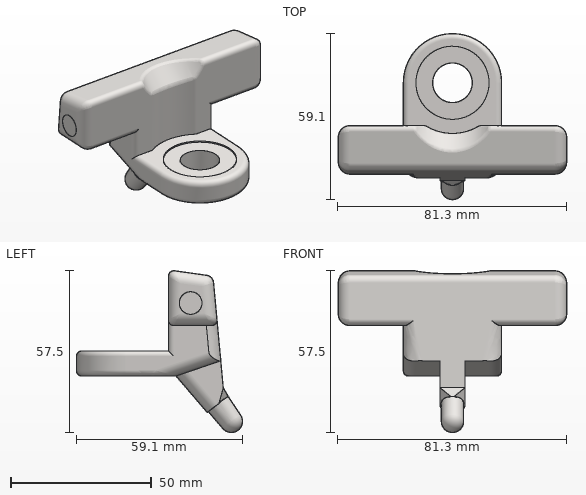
import math

import cadquery as cq

plate_width = 35.0
plate_thickness = 9.0
plate_radius = plate_width / 2
hole_diameter = 14.0
seat_diameter = 26.0
seat_depth = 0.5
edge_radius = 2.0

wall_y = -15.2
bar_length = 81.34
bar_bottom_z = 17.95
bar_top_z = 37.8
bar_top_slope = 8.0
bar_front_radius = 3.0
bar_end_radius = 4.2
end_pad_diameter = 8.05
end_pad_height = 0.05
end_pad_y = -23.1
end_pad_z = 26.0
front_slope = 5.25
front_y_at_base = -34.35
underside_slope = 18.8
underside_start_y = -17.75
underside_edge_radius = 4.2
upright_corner_depth = 4.0
upright_corner_width_at_bar = 4.1
upright_corner_slope = 13.0
upright_overlap = 8.0

well_radius = 18.0
scallop_slope = 45.0
scallop_radius = 17.0
scallop_floor_z = 30.4
scallop_mouth_radius = 1.5
scallop_floor_radius = 2.0

shank_width = 9.0
shank_back_slope = 40.5
shank_back_radius = 4.4
shank_front_z = -4.07
facet_half_gap = 1.3
facet_drop = 2.7
facet_depth = 1.15
facet_drop_at_side = 4.1
tip_radius = 4.0
tip_y = -37.58
tip_z = -16.05
tip_front_slope = 33.8
tip_length = 8.0


def tan(angle):
    return math.tan(math.radians(angle))


def front_y(z):
    """Y of the inclined front face at height z."""
    return front_y_at_base + z * tan(front_slope)


def up_the_slope(angle, distance):
    """Offset (y, z) going up and rearward at an angle from vertical."""
    return (distance * math.sin(math.radians(angle)), distance * math.cos(math.radians(angle)))


def side_extrusion(points, width):
    """Prism with a YZ outline, centred on x = 0."""
    return cq.Workplane("YZ").polyline(points).close().extrude(width / 2, both=True)


def round_edges(part, points, radius):
    """Fillet the edges whose centres lie nearest the points and their mirror images in x."""
    edges = []
    for x, y, z in points:
        for side_x in {x, -x}:
            nearest = cq.selectors.NearestToPointSelector((side_x, y, z))
            edges.append(part.edges(nearest).val())
    return part.newObject(edges).fillet(radius)


def upright_plan(z):
    """Plan outline at height z, with a half-round rear end and rounded front corners."""
    half = plate_width / 2
    front = front_y(z)
    corner_width = upright_corner_width_at_bar + (bar_bottom_z - z) * tan(upright_corner_slope)
    inner = half - corner_width
    diagonal = math.sqrt(0.5)
    mid_x = inner + corner_width * diagonal
    mid_y = front + upright_corner_depth * (1 - diagonal)
    return (
        cq.Workplane("XY")
        .workplane(offset=z)
        .moveTo(-half, 0)
        .threePointArc((0, half), (half, 0))
        .lineTo(half, front + upright_corner_depth)
        .threePointArc((mid_x, mid_y), (inner, front))
        .lineTo(-inner, front)
        .threePointArc((-mid_x, mid_y), (-half, front + upright_corner_depth))
        .close()
        .val()
    )


def make_body():
    """Plate with the upright rising from its front, rounded along its edges."""
    half = plate_width / 2
    top_z = bar_bottom_z + upright_overlap
    overrun_y = 2 * front_y_at_base
    overrun_z = (underside_start_y - overrun_y) * tan(underside_slope)
    profile = [
        (plate_radius, 0),
        (underside_start_y, 0),
        (overrun_y, overrun_z),
        (overrun_y, top_z),
        (wall_y, top_z),
        (wall_y, plate_thickness),
        (plate_radius, plate_thickness),
    ]
    body = side_extrusion(profile, plate_width)

    underside = [(half, (underside_start_y + overrun_y) / 2, overrun_z / 2)]
    body = round_edges(body, underside, underside_edge_radius)
    plan = cq.Workplane(cq.Solid.makeLoft([upright_plan(0), upright_plan(top_z)], True))
    body = body.intersect(plan)

    upright_rear = [(half, wall_y, (plate_thickness + top_z) / 2)]
    plate_top = [(0, plate_radius, plate_thickness), (half, wall_y / 2, plate_thickness)]
    plate_bottom = [(0, plate_radius, 0), (half, underside_start_y / 2, 0)]
    body = round_edges(body, plate_top + upright_rear, edge_radius)
    return round_edges(body, plate_bottom, edge_radius)


def make_bar():
    """Crossbar with rounded ends and long edges."""
    drop = tan(bar_top_slope)
    front_top_z = (bar_top_z - drop * (wall_y - front_y_at_base)) / (1 - drop * tan(front_slope))
    profile = [
        (wall_y, bar_bottom_z),
        (front_y(bar_bottom_z), bar_bottom_z),
        (front_y(front_top_z), front_top_z),
        (wall_y, bar_top_z),
    ]
    bar = side_extrusion(profile, bar_length - 2 * end_pad_height)
    bar = bar.faces("<X or >X").edges().fillet(bar_end_radius)
    bar = round_edges(bar, [(0, front_y(front_top_z), front_top_z)], bar_front_radius)
    for y, z in (profile[0], profile[1], profile[3]):
        bar = round_edges(bar, [(0, y, z)], edge_radius)
    pads = (
        cq.Workplane("YZ")
        .center(end_pad_y, end_pad_z)
        .circle(end_pad_diameter / 2)
        .extrude(bar_length / 2, both=True)
    )
    return bar.union(pads)


def cut_scallop(part):
    """Cut the upright clear of the seat, with a steep inclined scallop above, and round both rims."""
    reach = 2 * bar_top_z
    well = (
        cq.Workplane("XY")
        .workplane(offset=plate_thickness)
        .circle(well_radius)
        .extrude(reach)
    )
    part = part.cut(well)

    slope = math.radians(scallop_slope)
    axis_y = -well_radius + scallop_radius * math.cos(slope)
    axis_z = scallop_floor_z + scallop_radius * math.sin(slope)
    run_y, run_z = up_the_slope(scallop_slope, reach)
    scallop = cq.Solid.makeCylinder(
        scallop_radius,
        2 * reach,
        cq.Vector(0, axis_y + run_y, axis_z - run_z),
        cq.Vector(0, -run_y, run_z),
    )
    above_plate = cq.Workplane("XY").workplane(offset=plate_thickness).rect(reach, 2 * reach).extrude(reach)
    part = part.cut(above_plate.intersect(cq.Workplane(scallop)))

    mouth_rise = (bar_top_z - scallop_floor_z) * tan(scallop_slope)
    mouth = (0, -well_radius - mouth_rise, bar_top_z)
    part = round_edges(part, [mouth], scallop_mouth_radius)
    return round_edges(part, [(0, -well_radius, scallop_floor_z)], scallop_floor_radius)


def cut_hole(part):
    """Through hole with a shallow washer seat around it."""
    seat = (
        cq.Workplane("XY")
        .workplane(offset=plate_thickness - seat_depth)
        .circle(seat_diameter / 2)
        .extrude(plate_thickness)
    )
    hole = cq.Workplane("XY").circle(hole_diameter / 2).extrude(plate_thickness)
    return part.cut(hole).cut(seat)


def make_shank():
    """Slanted upper part of the peg, flat in front, rounded behind, with front corner facets."""
    half = shank_width / 2
    end_y, end_z = up_the_slope(shank_back_slope, tip_length)
    across_back = math.radians(shank_back_slope)
    back_low = (
        tip_y + end_y + half * math.cos(across_back),
        tip_z + end_z - half * math.sin(across_back),
    )
    rise_y, rise_z = up_the_slope(shank_back_slope, plate_thickness - back_low[1])
    back_high = (back_low[0] + rise_y, back_low[1] + rise_z)

    front_end_y, front_end_z = up_the_slope(tip_front_slope, tip_length)
    across_front = math.radians(tip_front_slope)
    front_low = (
        tip_y + front_end_y - tip_radius * math.cos(across_front),
        tip_z + front_end_z + tip_radius * math.sin(across_front),
    )
    profile = [
        back_low,
        front_low,
        (front_y(shank_front_z), shank_front_z),
        (front_y(plate_thickness), plate_thickness),
        back_high,
    ]
    shank = side_extrusion(profile, shank_width)
    mid_back = ((back_low[0] + back_high[0]) / 2, (back_low[1] + back_high[1]) / 2)
    shank = round_edges(shank, [(half, *mid_back)], shank_back_radius)

    drop_y, drop_z = up_the_slope(tip_front_slope, -facet_drop)
    front = cq.Vector(half, front_y(shank_front_z), shank_front_z)
    middle = cq.Vector(facet_half_gap, front.y + drop_y, front.z + drop_z)
    side = cq.Vector(half, front.y + facet_depth, front.z - facet_drop_at_side)
    normal = (middle - front).cross(side - front)
    plane = cq.Plane(origin=front, xDir=middle - front, normal=normal)
    corner = cq.Workplane(plane).rect(4 * shank_width, 4 * shank_width).extrude(shank_width)
    return shank.cut(corner).cut(corner.mirror("YZ"))


def make_tip():
    """Round-nosed tip: two cylinders fanning out from the nose, with the wedge between them."""
    tip = cq.Workplane("XY").sphere(tip_radius).translate((0, tip_y, tip_z))
    ends = []
    for slope in (shank_back_slope, tip_front_slope):
        dy, dz = up_the_slope(slope, tip_length)
        ends.append((tip_y + dy, tip_z + dz))
        cylinder = cq.Solid.makeCylinder(
            tip_radius, tip_length, cq.Vector(0, tip_y, tip_z), cq.Vector(0, dy, dz)
        )
        tip = tip.union(cq.Workplane(cylinder))
    return tip.union(side_extrusion([(tip_y, tip_z), *ends], 2 * tip_radius))


part = make_body().union(make_bar()).union(make_shank()).union(make_tip())
part = cut_scallop(part)
result = cut_hole(part)